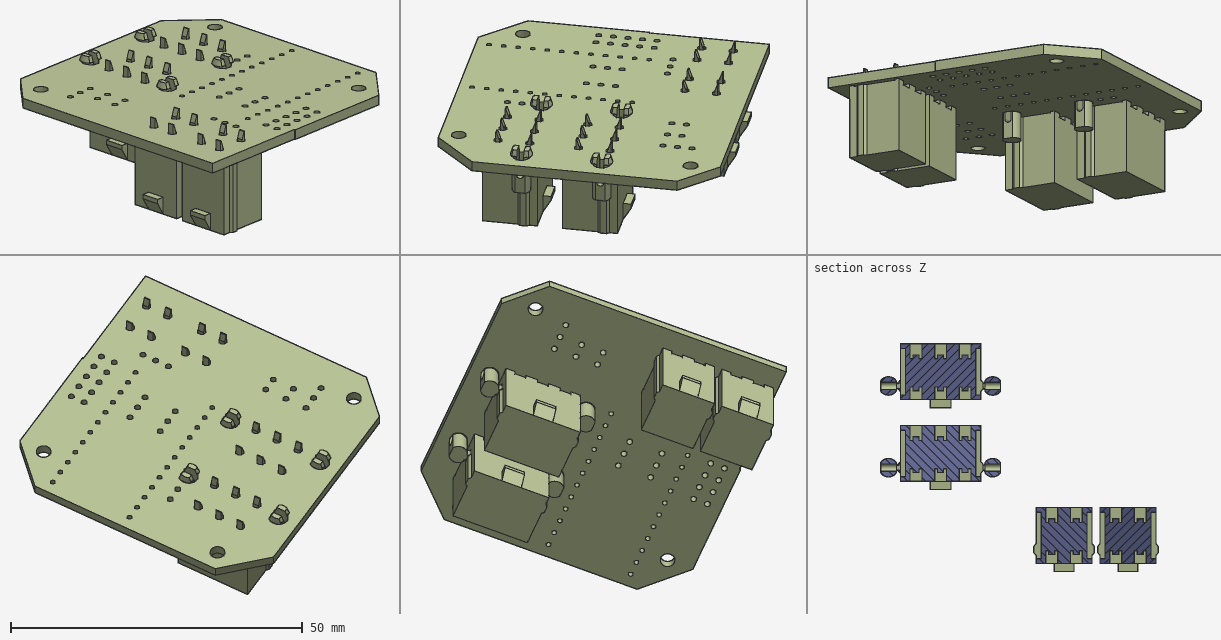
import cadquery as cq


board_length = 50.4
board_width = 49.41
board_thickness = 1.8
rear_corner_cut = 7.3
front_corner_cut = 6.3
edge_step = 0.2
edge_step_y = 20.9

mounting_hole_diameter = 2.5
mounting_hole_points = [(8.8, 46.1), (45.7, 42.1), (5.8, 5.1)]
grid = 2.54
module_hole_diameter = 0.8
module_row_spacing = 6 * grid
module_row_length = 12
module_corner = (25.7, 19.15)
lead_hole_diameter = 1.0
pair_corner = (21.7, 37.6)
triple_rows_corner = (30.75, 23.05)
triple_rows_spacing = 6.0
header_corner = (45.2, 19.1)
header_rows = 5
jumper_corner = (36.75, 15.15)
stepped_group_corner = (11.8, 6.0)
stepped_group_spacing = 4.0
pin_hole_diameter = 1.4
peg_hole_diameter = 3.0

pin_pitch = 4.2
pin_row_spacing = 5.5
two_column_points = [(31.55, 5.6), (42.5, 5.6)]
three_column_points = [(8.3, 19.65), (8.3, 33.65)]
housing_height = 12.8
housing_depth = 9.6
front_wall_offset = 1.85
side_wall_offset = 2.7
lip_thickness = 0.85
side_relief = 0.2
side_relief_width = 0.85
notch_width = 2.0
notch_depth = 0.75

rib_height = 0.4
rib_base_width = 2.0
rib_top_width = 1.1
rib_offset = 0.55

latch_reach = 1.4
latch_height = 3.15
latch_edge_height = 0.8
two_column_latch_width = 3.4
three_column_latch_width = 3.6

pin_width = 1.07
pin_thickness = 0.65
pin_tip_thickness = 0.15
pin_taper_length = 1.4
pin_top = 3.5
pin_root = -1.0

peg_offset_x = 4.73
peg_offset_y = 0.51
peg_diameter = 3.2
peg_flat_width = 2.7
peg_bottom = -4.7
peg_slot_width = 1.2
peg_slot_bottom = -1.85
barb_bottom = board_thickness + 0.45
barb_top = board_thickness + 1.55
barb_rim_radius = 1.9
barb_top_radius = 1.55
barb_base_width = 2.4
barb_top_width = 1.6
web_top = -2.8
web_width = 1.5


def hole_grid(corner, columns, rows, column_pitch=grid, row_pitch=grid):
    """Points of a grid whose front left point is the corner."""
    x, y = corner
    return [(x + i * column_pitch, y + j * row_pitch) for i in range(columns) for j in range(rows)]


def pin_points(columns):
    """Pin positions of a housing, measured from the left pin of the front row."""
    return hole_grid((0, 0), columns, 2, pin_pitch, pin_row_spacing)


def peg_points(columns):
    """Peg positions of a housing, measured from the left pin of the front row."""
    right_column = (columns - 1) * pin_pitch
    return [(-peg_offset_x, peg_offset_y), (right_column + peg_offset_x, peg_offset_y)]


def shifted(points, origin):
    return [(x + origin[0], y + origin[1]) for x, y in points]


def centred_box(x, y, length, width, bottom, top):
    """Box centred on (x, y) between two heights."""
    return cq.Workplane("XY", origin=(x, y, bottom)).rect(length, width).extrude(top - bottom)



def board_holes(points, diameter):
    return cq.Workplane("XY").pushPoints(points).circle(diameter / 2).extrude(board_thickness)


def make_board():
    stepped_edge = board_length - edge_step
    board = (
        cq.Workplane("XY")
        .moveTo(front_corner_cut, 0)
        .lineTo(stepped_edge, 0)
        .lineTo(stepped_edge, edge_step_y)
        .lineTo(board_length, edge_step_y)
        .lineTo(board_length, board_width - rear_corner_cut)
        .lineTo(board_length - rear_corner_cut, board_width)
        .lineTo(rear_corner_cut, board_width)
        .lineTo(0, board_width - rear_corner_cut)
        .lineTo(0, front_corner_cut)
        .close()
        .extrude(board_thickness)
    )

    module_holes = hole_grid(module_corner, 2, module_row_length, column_pitch=module_row_spacing)
    short_columns_corner = (stepped_group_corner[0] + stepped_group_spacing, stepped_group_corner[1] + grid)
    lead_holes = (
        hole_grid(pair_corner, 1, 2)
        + hole_grid(triple_rows_corner, 2, 3, column_pitch=triple_rows_spacing)
        + hole_grid(header_corner, 2, header_rows)
        + hole_grid(jumper_corner, 3, 1)
        + hole_grid(stepped_group_corner, 1, 3)
        + hole_grid(short_columns_corner, 2, 2, column_pitch=stepped_group_spacing)
    )
    pin_holes = []
    peg_holes = []
    for origin in two_column_points:
        pin_holes += shifted(pin_points(2), origin)
    for origin in three_column_points:
        pin_holes += shifted(pin_points(3), origin)
        peg_holes += shifted(peg_points(3), origin)

    board = board.cut(board_holes(mounting_hole_points, mounting_hole_diameter))
    board = board.cut(board_holes(module_holes, module_hole_diameter))
    board = board.cut(board_holes(lead_holes, lead_hole_diameter))
    board = board.cut(board_holes(pin_holes, pin_hole_diameter))
    return board.cut(board_holes(peg_holes, peg_hole_diameter))



def make_pin(x, y, inward):
    """Blade with one upright face and a tapered face on the inward side (+1 or -1 along Y)."""
    outer = y - inward * pin_thickness / 2
    inner = outer + inward * pin_thickness
    return (
        cq.Workplane("YZ", origin=(x - pin_width / 2, 0, 0))
        .moveTo(outer, pin_root)
        .lineTo(outer, pin_top)
        .lineTo(outer + inward * pin_tip_thickness, pin_top)
        .lineTo(inner, pin_top - pin_taper_length)
        .lineTo(inner, pin_root)
        .close()
        .extrude(pin_width)
    )


def make_rib(side_x, outward, top):
    """Upright rib with sloped flanks on a side face (outward is +1 or -1 along X)."""
    ridge_x = side_x + outward * rib_height
    return (
        cq.Workplane("XY", origin=(0, rib_offset, -housing_height))
        .moveTo(side_x, -rib_base_width / 2)
        .lineTo(ridge_x, -rib_top_width / 2)
        .lineTo(ridge_x, rib_top_width / 2)
        .lineTo(side_x, rib_base_width / 2)
        .close()
        .extrude(housing_height + top)
    )


def make_latch(centre_x, width):
    """Wedge on the front face, rising from the bottom edge to a flat shelf."""
    front = -front_wall_offset
    shelf = latch_height - housing_height
    return (
        cq.Workplane("YZ", origin=(centre_x - width / 2, 0, 0))
        .moveTo(front, -housing_height)
        .lineTo(front, shelf)
        .lineTo(front - latch_reach, shelf)
        .lineTo(front - latch_reach, shelf - latch_edge_height)
        .close()
        .extrude(width)
    )


def make_housing(columns, latch_width, left_rib_top):
    """Block with side ribs, a front latch, notched lips along its top, and two rows of pins."""
    right_column = (columns - 1) * pin_pitch
    centre_x = right_column / 2
    left_side = -side_wall_offset
    right_side = right_column + side_wall_offset
    length = right_side - left_side
    centre_y = housing_depth / 2 - front_wall_offset

    housing = centred_box(centre_x, centre_y, length, housing_depth, -housing_height, 0)
    housing = housing.union(make_rib(left_side, -1, left_rib_top))
    housing = housing.union(make_rib(right_side, 1, 0))
    housing = housing.union(make_latch(centre_x, latch_width))

    relief_length = housing_depth - 2 * lip_thickness
    relief_width = side_relief_width + rib_height
    for x in (left_side - rib_height + relief_width / 2, right_side + rib_height - relief_width / 2):
        housing = housing.cut(centred_box(x, centre_y, relief_width, relief_length, -side_relief, 0))

    front_notch_length = front_wall_offset + pin_thickness / 2
    rear_notch_length = housing_depth - front_wall_offset - pin_row_spacing + pin_thickness / 2
    front_notch_y = -front_wall_offset + front_notch_length / 2
    rear_notch_y = housing_depth - front_wall_offset - rear_notch_length / 2
    for column in range(columns):
        x = column * pin_pitch
        housing = housing.cut(centred_box(x, front_notch_y, notch_width, front_notch_length, -notch_depth, 0))
        housing = housing.cut(centred_box(x, rear_notch_y, notch_width, rear_notch_length, -notch_depth, 0))

    for x, y in pin_points(columns):
        inward = 1 if y == 0 else -1
        housing = housing.union(make_pin(x, y, inward))
    return housing


def make_barb():
    """Conical snap head on the Z axis, with its left and right sides sloped inward."""
    height = barb_top - barb_bottom
    cone = (
        cq.Workplane("XZ")
        .moveTo(0, barb_bottom)
        .lineTo(barb_rim_radius, barb_bottom)
        .lineTo(barb_top_radius, barb_top)
        .lineTo(0, barb_top)
        .close()
        .revolve(360, (0, 0, 0), (0, 1, 0))
    )
    sloped_sides = (
        cq.Workplane("XZ", origin=(0, barb_rim_radius, barb_bottom))
        .moveTo(-barb_base_width / 2, 0)
        .lineTo(barb_base_width / 2, 0)
        .lineTo(barb_top_width / 2, height)
        .lineTo(-barb_top_width / 2, height)
        .close()
        .extrude(2 * barb_rim_radius)
    )
    return cone.intersect(sloped_sides)


def make_peg():
    """Flat-sided peg on the Z axis, with a neck in the board, a snap head and a slot along X."""
    body = cq.Workplane("XY", origin=(0, 0, peg_bottom)).circle(peg_diameter / 2).extrude(-peg_bottom)
    neck = cq.Workplane("XY").circle(peg_hole_diameter / 2).extrude(barb_bottom)
    flats = centred_box(0, 0, peg_flat_width, peg_diameter, peg_bottom, barb_bottom)
    shank = body.union(neck).intersect(flats)

    slot_radius = peg_slot_width / 2
    slot_axis_z = peg_slot_bottom + slot_radius
    slot = centred_box(0, 0, peg_diameter, peg_slot_width, slot_axis_z, barb_top)
    slot = slot.union(
        cq.Workplane("YZ", origin=(-peg_diameter / 2, 0, slot_axis_z))
        .circle(slot_radius)
        .extrude(peg_diameter)
    )
    return shank.union(make_barb()).cut(slot)


def make_web(peg_x, side_x):
    """Short bridge from a peg to the housing side, with a round hollow in each flank."""
    toward_side = 1 if side_x > peg_x else -1
    inner_flat = peg_x + toward_side * peg_flat_width / 2
    gap = abs(side_x - inner_flat)
    middle_x = (inner_flat + side_x) / 2
    web = centred_box(middle_x, peg_offset_y, gap, web_width, peg_bottom, web_top)
    hollow_points = [
        (middle_x, peg_offset_y - web_width / 2),
        (middle_x, peg_offset_y + web_width / 2),
    ]
    hollows = (
        cq.Workplane("XY", origin=(0, 0, peg_bottom))
        .pushPoints(hollow_points)
        .circle(gap / 2)
        .extrude(web_top - peg_bottom)
    )
    return web.cut(hollows)


def make_pegged_housing():
    columns = 3
    housing = make_housing(columns, three_column_latch_width, peg_bottom)
    sides = [-side_wall_offset, (columns - 1) * pin_pitch + side_wall_offset]
    for (x, y), side_x in zip(peg_points(columns), sides):
        housing = housing.union(make_web(x, side_x))
        housing = housing.union(make_peg().translate((x, y, 0)))
    return housing



board = make_board()
plain_housing = make_housing(2, two_column_latch_width, 0)
pegged_housing = make_pegged_housing()

plain_housings = [plain_housing.translate((x, y, 0)) for x, y in two_column_points]
pegged_housings = [pegged_housing.translate((x, y, 0)) for x, y in three_column_points]

result = cq.Compound.makeCompound(
    [board.val()] + [housing.val() for housing in plain_housings + pegged_housings]
)